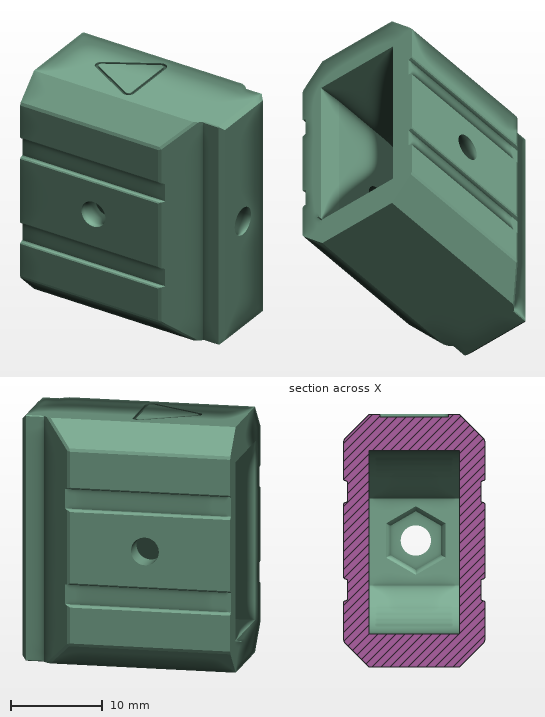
import cadquery as cq
import math

length = 24.0
width = 15.5
height = 27.5
corner_chamfer = 2.82
edge_bevel = 0.2

groove_depth = 0.45
groove_center_height = 5.35
groove_floor_half = 1.09
groove_lip_depth = 0.1
groove_lip_half = 1.22
groove_mouth_half = 1.36

plug_width = 8.66
shoulder_end = 21.48
plug_chamfer = 0.5
plug_edge_bevel = 0.1

pocket_width = 9.85
pocket_mouth_width = 10.22
pocket_taper_length = 2.8
pocket_height = 20.0
pocket_center_z = -0.16
pocket_depth = 20.0
pocket_floor_half = 4.74
pocket_arc_radius = 9.9

side_hole_diameter = 3.1
side_hole_x = 9.5
end_hole_diameter = 3.3
end_hole_y = -0.2
hex_mouth_flats = 6.46
hex_floor_flats = 5.53
hex_depth = (hex_mouth_flats - hex_floor_flats) / 2

triangle_side = 9.0
triangle_base_x = 11.87
triangle_corner_radius = 0.75
triangle_groove_width = 0.4
triangle_groove_depth = 0.25

burr_length = 0.67
burr_width = 0.2
burr_thickness = 0.05

half_width = width / 2
half_height = height / 2
plug_half = plug_width / 2
shoulder_drop = half_width - plug_half
shoulder_start = shoulder_end - shoulder_drop


def make_body():
    """Octagonal bar with shoulders down to the plug and bevelled side edges."""
    outline = [
        (0, -half_width),
        (shoulder_start, -half_width),
        (shoulder_end, -plug_half),
        (length, -plug_half),
        (length, plug_half),
        (shoulder_end, plug_half),
        (shoulder_start, half_width),
        (0, half_width),
    ]
    body = cq.Workplane("XY").polyline(outline).close().extrude(half_height, both=True)
    octagon = (
        cq.Workplane("YZ")
        .rect(width, height)
        .extrude(length)
        .edges("|X")
        .chamfer(corner_chamfer)
    )
    body = body.intersect(octagon)
    side_edges = body.faces(">Y or <Y").edges("not <X")
    diagonal_edges = body.edges("not (#X or #Y or #Z)")
    body = side_edges.add(diagonal_edges).chamfer(edge_bevel)
    body = body.faces(">X").chamfer(plug_chamfer)
    plug_edges = body.edges("|X").filter(lambda edge: edge.Center().x > shoulder_end)
    return plug_edges.chamfer(plug_edge_bevel)


def make_side_groove(side, center_z):
    """Cutter for one groove with sloping walls and flared lips; side is +1 or -1 along Y."""
    mouth_y = side * half_width
    floor_y = side * (half_width - groove_depth)
    lip_y = side * (half_width - groove_lip_depth)
    section = [
        (mouth_y, center_z - groove_mouth_half),
        (lip_y, center_z - groove_lip_half),
        (floor_y, center_z - groove_floor_half),
        (floor_y, center_z + groove_floor_half),
        (lip_y, center_z + groove_lip_half),
        (mouth_y, center_z + groove_mouth_half),
    ]
    return cq.Workplane("YZ").polyline(section).close().extrude(shoulder_end)


def make_pocket():
    """Pocket with a tapered mouth and a floor blended by 45 degree slopes and arcs."""
    wall = pocket_height / 2
    diagonal = math.sqrt(0.5)
    slope_run = wall - pocket_arc_radius * (1 - diagonal) - pocket_floor_half
    arc_start_x = pocket_depth - slope_run - pocket_arc_radius * diagonal
    arc_center_z = wall - pocket_arc_radius

    def arc_point(angle, side):
        x = arc_start_x + pocket_arc_radius * math.sin(angle)
        return (x, side * (arc_center_z + pocket_arc_radius * math.cos(angle)))

    arc_middle = math.pi / 8
    arc_end = math.pi / 4
    profile = (
        cq.Workplane("XZ")
        .moveTo(0, -wall)
        .lineTo(arc_start_x, -wall)
        .threePointArc(arc_point(arc_middle, -1), arc_point(arc_end, -1))
        .lineTo(pocket_depth, -pocket_floor_half)
        .lineTo(pocket_depth, pocket_floor_half)
        .lineTo(*arc_point(arc_end, 1))
        .threePointArc(arc_point(arc_middle, 1), (arc_start_x, wall))
        .lineTo(0, wall)
        .close()
        .extrude(pocket_width / 2, both=True)
    )
    mouth = (
        cq.Workplane("XY")
        .moveTo(0, -pocket_mouth_width / 2)
        .lineTo(pocket_taper_length, -pocket_width / 2)
        .lineTo(pocket_taper_length, pocket_width / 2)
        .lineTo(0, pocket_mouth_width / 2)
        .close()
        .extrude(wall, both=True)
    )
    return profile.union(mouth).translate((0, 0, pocket_center_z))


def make_hex_recess():
    """Hexagonal recess in the pocket floor with 45 degree walls, points up and down."""
    def hexagon(plane, flats):
        return plane.polygon(6, flats / math.cos(math.pi / 6))

    mouth = hexagon(cq.Workplane("YZ"), hex_mouth_flats)
    floor = hexagon(mouth.workplane(offset=hex_depth), hex_floor_flats)
    recess = floor.loft(ruled=True).rotate((0, 0, 0), (1, 0, 0), 90)
    return recess.translate((pocket_depth, end_hole_y, 0))


def make_holes():
    """Cross hole through both side walls and the hole through the plug."""
    side_hole = (
        cq.Workplane("XZ")
        .center(side_hole_x, 0)
        .circle(side_hole_diameter / 2)
        .extrude(half_width, both=True)
    )
    end_hole = (
        cq.Workplane("YZ", origin=(pocket_depth, end_hole_y, 0))
        .circle(end_hole_diameter / 2)
        .extrude(length - pocket_depth)
    )
    return side_hole.union(end_hole)


def make_rounded_triangle(inset):
    """Equilateral triangle prism pointing to -X, each side moved inward by inset."""
    half_side = triangle_side / 2 - inset * math.sqrt(3)
    base_x = triangle_base_x - inset
    tip_x = base_x - half_side * math.sqrt(3)
    return (
        cq.Workplane("XY", origin=(0, 0, half_height - triangle_groove_depth))
        .polyline([(tip_x, 0), (base_x, -half_side), (base_x, half_side)])
        .close()
        .extrude(triangle_groove_depth)
        .edges("|Z")
        .fillet(triangle_corner_radius - inset)
    )


def make_burr():
    """Thin sliver on the mouth rim, just below the lower +Y pocket corner."""
    top_z = pocket_center_z - pocket_height / 2
    end_y = pocket_mouth_width / 2
    corner = (-burr_length, end_y - burr_width, top_z - burr_thickness)
    burr = cq.Workplane("XY").box(burr_length + burr_thickness, burr_width, burr_thickness, centered=False)
    return burr.translate(corner)


result = make_body()
for side in (-1, 1):
    for center_z in (-groove_center_height, groove_center_height):
        result = result.cut(make_side_groove(side, center_z))
result = result.cut(make_pocket())
result = result.cut(make_hex_recess())
result = result.cut(make_holes())
triangle_groove = make_rounded_triangle(0).cut(make_rounded_triangle(triangle_groove_width))
result = result.cut(triangle_groove)
result = result.union(make_burr())